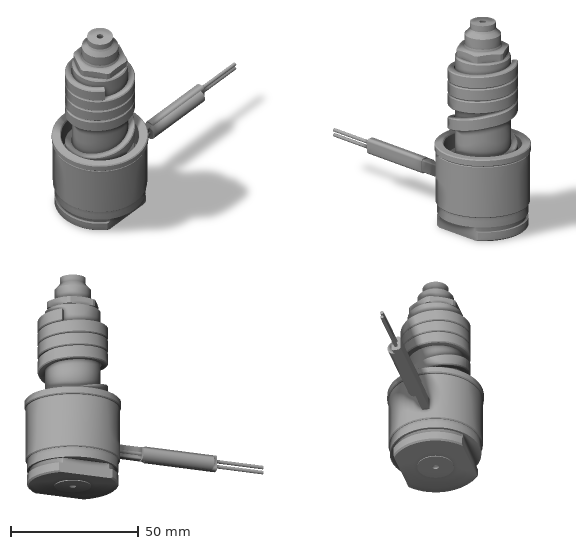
import cadquery as cq
import math

RIM_RADIUS = 19.0
BODY_RADIUS = 18.6
COLLAR_RADIUS = 18.0
RELIEF_RADIUS = 17.0
FOOT_BOSS_RADIUS = 7.2
FOOT_Z = 0.3
FOOT_CHAMFER = 0.6
RELIEF_Z = 4.2
COLLAR_Z = 6.3
BODY_Z = 10.4
RIM_Z = 32.2
RIM_TOP_Z = 35.2
EDGE_CHAMFER = 0.4
FLAT_DISTANCE = 14.0
BORE_RADIUS = 15.4
BORE_STEP_Z = 24.5
SEAT_RADIUS = 14.5
SEAT_Z = 23.0

CORE_RADIUS = 11.0
CORE_TOP_Z = 72.4
CORE_CHAMFER = 0.5
NECK_RADIUS = 9.3
HEX_Z = 72.7
HEX_EDGE_Z = 75.4
HEX_TOP_Z = 76.3
HEX_APOTHEM = 9.5
HEX_CORNER_RADIUS = 10.6
NOZZLE_ROOT_RADIUS = 7.6
NOZZLE_ROOT_Z = 77.1
NOZZLE_RADIUS = 7.2
SHOULDER_Z = 81.3
SHOULDER_RADIUS = 5.6
SHOULDER_TOP_Z = 83.0
TIP_Z = 83.7
TIP_RADIUS = 5.1
TOP_Z = 86.2
NOZZLE_HOLE_RADIUS = 1.3

SPRING_RADIUS = 13.8
SPRING_INNER_RADIUS = 11.3
WIRE_HEIGHT = 5.1
WIRE_CHAMFER = 0.4
SPRING_END_ANGLE = -40.0
SPRING_END_Z = 67.1
CLOSED_PITCH = 5.3
TIGHT_EASING_PITCH = 10.5
WIDE_EASING_PITCH = 18.0
OPEN_PITCH = 22.0
EASING_SWEEP = 70.0
SPRING_STRETCHES = [
    (CLOSED_PITCH, 1094.0),
    (TIGHT_EASING_PITCH, EASING_SWEEP),
    (WIDE_EASING_PITCH, EASING_SWEEP),
    (OPEN_PITCH, 180.0),
    (WIDE_EASING_PITCH, EASING_SWEEP),
    (TIGHT_EASING_PITCH, EASING_SWEEP),
    (CLOSED_PITCH, 360.0),
]

CABLE_X = -1.3
CABLE_Z = 17.4
CABLE_START_Y = 17.0
SHEATH_WIDTH = 3.1
SHEATH_HEIGHT = 5.2
SHEATH_ROUND = 0.5
SLEEVE_WIDTH = 3.7
SLEEVE_HEIGHT = 6.3
SLEEVE_ROUND = 1.1
SLEEVE_START_Y = 30.7
SLEEVE_END_Y = 60.9
LEAD_RADIUS = 0.7
LEAD_SPACING = 2.1
LEAD_END_Y = 81.0
SIDE_CABLE_Z = 17.1
SIDE_CABLE_RADIUS = 0.8
SIDE_SLEEVE_RADIUS = 2.8
SIDE_SLEEVE_START_Y = 28.9
SIDE_SLEEVE_END_Y = 58.8


def revolve_profile(points):
    """Solid of revolution about Z from (radius, z) points."""
    return cq.Workplane("XZ").polyline(points).close().revolve(360, (0, 0, 0), (0, 1, 0))


def make_housing():
    foot = revolve_profile([
        (0, 0),
        (FOOT_BOSS_RADIUS, 0),
        (FOOT_BOSS_RADIUS, FOOT_Z),
        (COLLAR_RADIUS - FOOT_CHAMFER, FOOT_Z),
        (COLLAR_RADIUS, FOOT_Z + FOOT_CHAMFER),
        (COLLAR_RADIUS, RELIEF_Z),
        (RELIEF_RADIUS, RELIEF_Z),
        (RELIEF_RADIUS, COLLAR_Z),
        (0, COLLAR_Z),
    ])
    between_flats = cq.Workplane("XY").box(
        2 * FLAT_DISTANCE, 2 * RIM_RADIUS, COLLAR_Z, centered=(True, True, False)
    )
    foot = foot.intersect(between_flats)
    body = revolve_profile([
        (0, COLLAR_Z),
        (COLLAR_RADIUS, COLLAR_Z),
        (COLLAR_RADIUS, BODY_Z),
        (BODY_RADIUS - EDGE_CHAMFER, BODY_Z),
        (BODY_RADIUS, BODY_Z + EDGE_CHAMFER),
        (BODY_RADIUS, RIM_Z - EDGE_CHAMFER),
        (BODY_RADIUS - EDGE_CHAMFER, RIM_Z),
        (RIM_RADIUS - EDGE_CHAMFER, RIM_Z),
        (RIM_RADIUS, RIM_Z + EDGE_CHAMFER),
        (RIM_RADIUS, RIM_TOP_Z - EDGE_CHAMFER),
        (RIM_RADIUS - EDGE_CHAMFER, RIM_TOP_Z),
        (BORE_RADIUS + EDGE_CHAMFER, RIM_TOP_Z),
        (BORE_RADIUS, RIM_TOP_Z - EDGE_CHAMFER),
        (BORE_RADIUS, BORE_STEP_Z),
        (SEAT_RADIUS, BORE_STEP_Z),
        (SEAT_RADIUS, SEAT_Z),
        (0, SEAT_Z),
    ])
    return foot.union(body)


def make_core():
    return revolve_profile([
        (0, SEAT_Z),
        (CORE_RADIUS, SEAT_Z),
        (CORE_RADIUS, CORE_TOP_Z - CORE_CHAMFER),
        (CORE_RADIUS - CORE_CHAMFER, CORE_TOP_Z),
        (NECK_RADIUS, CORE_TOP_Z),
        (NECK_RADIUS, HEX_Z),
        (NOZZLE_ROOT_RADIUS, HEX_TOP_Z),
        (NOZZLE_RADIUS, NOZZLE_ROOT_Z),
        (NOZZLE_RADIUS, SHOULDER_Z),
        (SHOULDER_RADIUS, SHOULDER_TOP_Z),
        (TIP_RADIUS, TIP_Z),
        (TIP_RADIUS, TOP_Z),
        (0, TOP_Z),
    ])


def make_hex():
    """Hexagon with a flat on +X and -X, a conical top and turned-down corners."""
    turned = revolve_profile([
        (0, HEX_Z),
        (HEX_CORNER_RADIUS, HEX_Z),
        (HEX_CORNER_RADIUS, HEX_EDGE_Z),
        (NOZZLE_ROOT_RADIUS, HEX_TOP_Z),
        (0, HEX_TOP_Z),
    ])
    across_corners = 2 * HEX_APOTHEM / math.cos(math.pi / 6)
    prism = (
        cq.Workplane("XY", origin=(0, 0, HEX_Z))
        .polygon(6, across_corners)
        .extrude(HEX_TOP_Z - HEX_Z)
        .rotate((0, 0, 0), (0, 0, 1), 30)
    )
    return turned.intersect(prism)


def make_spring_stretch(pitch, sweep, lower_angle, lower_z):
    """One stretch of constant pitch, rising from its lower end."""
    half = WIRE_HEIGHT / 2
    helix = cq.Wire.makeHelix(pitch, pitch * sweep / 360, SPRING_RADIUS)
    return (
        cq.Workplane("XZ")
        .moveTo(SPRING_INNER_RADIUS, -half)
        .lineTo(SPRING_RADIUS - WIRE_CHAMFER, -half)
        .lineTo(SPRING_RADIUS, -half + WIRE_CHAMFER)
        .lineTo(SPRING_RADIUS, half - WIRE_CHAMFER)
        .lineTo(SPRING_RADIUS - WIRE_CHAMFER, half)
        .lineTo(SPRING_INNER_RADIUS, half)
        .close()
        .sweep(cq.Workplane(helix), isFrenet=True)
        .rotate((0, 0, 0), (0, 0, 1), lower_angle)
        .translate((0, 0, lower_z))
    )


def make_spring():
    """All stretches, each starting where the one above it ends."""
    angle = SPRING_END_ANGLE
    z = SPRING_END_Z
    stretches = []
    for pitch, sweep in SPRING_STRETCHES:
        angle -= sweep
        z -= pitch * sweep / 360
        stretches.append(make_spring_stretch(pitch, sweep, angle, z))
    return stretches


def along_y(x, z, start_y, end_y, sketch):
    """Extrude a centred sketch from start_y to end_y."""
    plane = cq.Workplane("XZ", origin=(x, start_y, z))
    return sketch(plane).extrude(start_y - end_y)


def make_bar(width, height, corner, start_y, end_y):
    """Rounded bar centred on the main cable."""
    bar = along_y(CABLE_X, CABLE_Z, start_y, end_y, lambda plane: plane.rect(width, height))
    return bar.edges("|Y").fillet(corner)


def make_rod(x, z, radius, start_y, end_y):
    return along_y(x, z, start_y, end_y, lambda plane: plane.circle(radius))


def make_cable():
    """Main cable with two leads and a parallel side cable, each in a sleeve."""
    cable = make_bar(SHEATH_WIDTH, SHEATH_HEIGHT, SHEATH_ROUND, CABLE_START_Y, SLEEVE_END_Y)
    cable = cable.union(
        make_bar(SLEEVE_WIDTH, SLEEVE_HEIGHT, SLEEVE_ROUND, SLEEVE_START_Y, SLEEVE_END_Y)
    )
    for side in (-1, 1):
        lead_z = CABLE_Z + side * LEAD_SPACING / 2
        cable = cable.union(make_rod(CABLE_X, lead_z, LEAD_RADIUS, SLEEVE_START_Y, LEAD_END_Y))
    cable = cable.union(
        make_rod(0, SIDE_CABLE_Z, SIDE_CABLE_RADIUS, CABLE_START_Y, SIDE_SLEEVE_END_Y)
    )
    return cable.union(
        make_rod(0, SIDE_CABLE_Z, SIDE_SLEEVE_RADIUS, SIDE_SLEEVE_START_Y, SIDE_SLEEVE_END_Y)
    )


result = make_housing().union(make_core()).union(make_hex()).union(make_cable())
for stretch in make_spring():
    result = result.union(stretch)
nozzle_hole = cq.Workplane("XY").circle(NOZZLE_HOLE_RADIUS).extrude(TOP_Z)
result = result.cut(nozzle_hole)